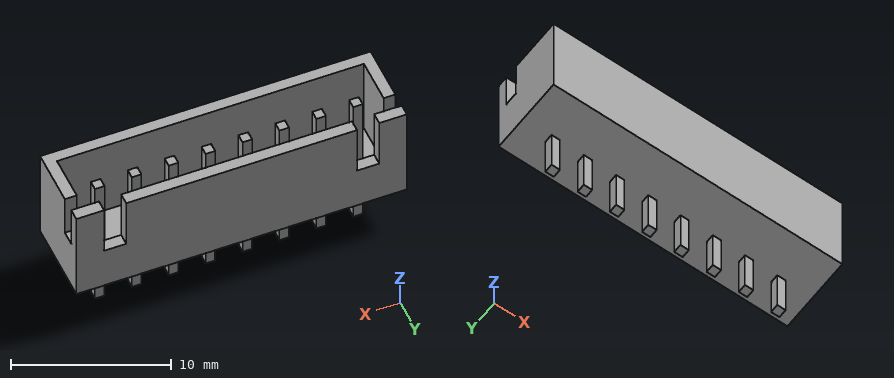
import cadquery as cq

length = 22.4
width = 5.75
body_height = 7.0
wall = 0.8
floor_thickness = 1.0

side_notch_depth = 3.11
rear_notch_depth = 3.76
rear_notch_width = 1.5
rear_notch_inset = 1.88
side_notch_width = 1.0

pin_count = 8
pin_row_length = 17.5
pin_size = 0.65
pin_tail = 3.4
pin_recess = 0.2
pin_to_rear = 2.35

rear_y = width / 2
pin_y = rear_y - pin_to_rear
pin_pitch = pin_row_length / (pin_count - 1)
side_notch_z = body_height - side_notch_depth
rear_notch_z = body_height - rear_notch_depth


def box(x_size, y_size, z_bottom, z_top, x=0.0, y=0.0):
    """Upright block centred on (x, y), spanning z_bottom to z_top."""
    block = cq.Workplane("XY").box(x_size, y_size, z_top - z_bottom, centered=(True, True, False))
    return block.translate((x, y, z_bottom))


def make_housing():
    """Open-topped tray standing on the Z = 0 plane."""
    outside = box(length, width, 0, body_height)
    cavity = box(length - 2 * wall, width - 2 * wall, floor_thickness, body_height)
    return outside.cut(cavity)


def cut_notches(housing):
    """Notch the rear wall near each end and both end walls beside the rear wall."""
    rear_x = length / 2 - rear_notch_inset - rear_notch_width / 2
    end_x = (length - wall) / 2
    end_y = rear_y - wall - side_notch_width / 2
    for side in (-1, 1):
        rear_notch = box(rear_notch_width, wall, rear_notch_z, body_height, side * rear_x, rear_y - wall / 2)
        end_notch = box(wall, side_notch_width, side_notch_z, body_height, side * end_x, end_y)
        housing = housing.cut(rear_notch).cut(end_notch)
    return housing


def add_pins(housing):
    """Row of square pins passing through the floor."""
    for index in range(pin_count):
        pin_x = index * pin_pitch - pin_row_length / 2
        pin = box(pin_size, pin_size, -pin_tail, body_height - pin_recess, pin_x, pin_y)
        housing = housing.union(pin)
    return housing


result = add_pins(cut_notches(make_housing()))